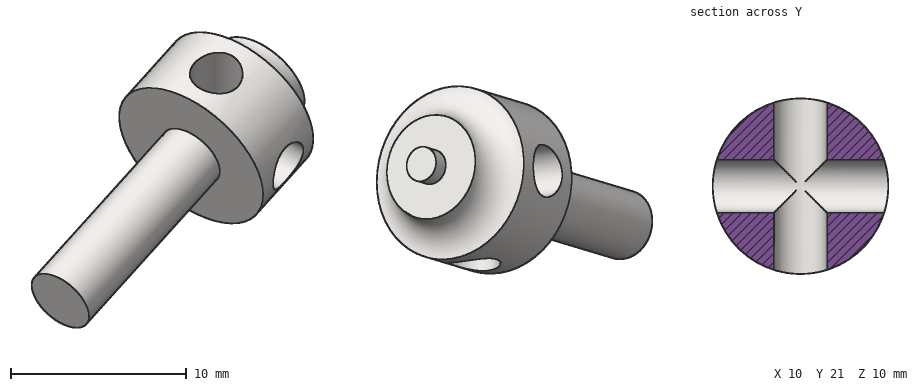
import cadquery as cq
import math

total_length = 21.0
head_diameter = 10.0
head_length = 5.0
shaft_diameter = 4.0
tip_diameter = 2.0
tip_length = 1.0
flare_radius = 2.0
cross_hole_diameter = 3.0

head_radius = head_diameter / 2
shaft_radius = shaft_diameter / 2
tip_radius = tip_diameter / 2
neck_radius = head_radius - flare_radius
neck_end = total_length - tip_length
head_front = neck_end - flare_radius
head_back = head_front - head_length
head_middle = (head_back + head_front) / 2


def turned_body():
    """Shaft, head, concave flare and tip as one revolved half profile."""
    diagonal_offset = flare_radius * math.sqrt(0.5)
    flare_middle = (head_radius - diagonal_offset, neck_end - diagonal_offset)
    return (
        cq.Workplane("XY")
        .lineTo(shaft_radius, 0)
        .lineTo(shaft_radius, head_back)
        .lineTo(head_radius, head_back)
        .lineTo(head_radius, head_front)
        .threePointArc(flare_middle, (neck_radius, neck_end))
        .lineTo(tip_radius, neck_end)
        .lineTo(tip_radius, total_length)
        .lineTo(0, total_length)
        .close()
        .revolve(360, (0, 0, 0), (0, 1, 0))
    )


def cross_hole(plane):
    """Cylinder along the plane normal, right through the middle of the head."""
    return (
        cq.Workplane(plane, origin=(0, head_middle, 0))
        .circle(cross_hole_diameter / 2)
        .extrude(head_diameter, both=True)
    )


result = turned_body()
for hole_plane in ("XY", "YZ"):
    result = result.cut(cross_hole(hole_plane))